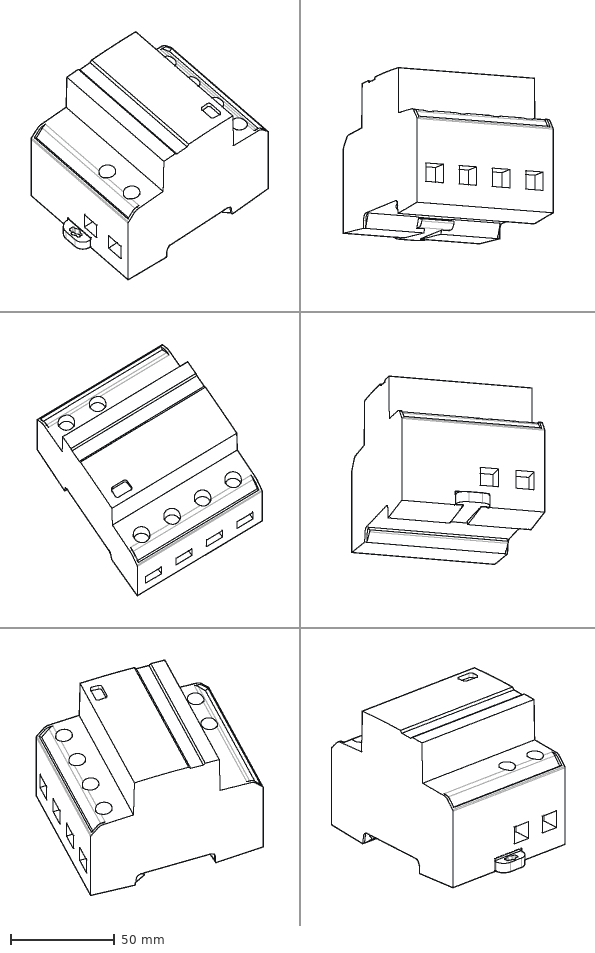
import cadquery as cq


WIDTH = 72.0
DEPTH = 90.0
FRONT_FOOT_EDGE_Z = 1.6
BACK_FOOT_EDGE_Z = 1.9
SIDE_TOP_Z = 43.55
SHOULDER_RUN = 5.0
SHOULDER_RISE = 5.4
SHOULDER_ROUND = 4.0
BEVEL_ROUND = 1.0

TOWER_BASE_Z = 49.85
TOWER_FRONT_BASE_Y = 22.4
TOWER_BACK_BASE_Y = 67.6
TOWER_DRAFT = 0.5
TOWER_FRONT_Z = 71.5
TOWER_BACK_Z = 72.1
CROWN = (49.7, 72.5)
CROWN_FRONT = (38.9, 72.3)
GROOVE_FRONT = (30.3, 71.8)
GROOVE_FLOOR_FRONT = (31.2, 70.9)
GROOVE_FLOOR_BACK = (37.8, 71.1)

RAIL_Z = 7.1
FRONT_FOOT_TIP_Y = 24.7
FRONT_WALL_TOP = (24.9, 3.8)
FRONT_ARC_MID = (25.7, 6.2)
FRONT_ARC_END_Y = 27.2
BACK_FOOT_TIP = (66.8, 0.3)
BACK_WALL_TOP = (66.2, 4.4)
BACK_ARC_MID = (65.4, 6.3)
BACK_ARC_END_Y = 63.8
END_WALL = 1.1
CORE_WIDTH = WIDTH - 2 * END_WALL
RAMP_TOP_Y = 27.9

FIXED_NOSE_BOTTOM = (61.8, 4.1)
FIXED_NOSE_MID = (61.5, 4.7)
FIXED_NOSE_TOP = (61.9, 5.2)
FIXED_NECK = (62.8, 5.5)

LABEL_MARGIN = 1.3
LABEL_LIP = 1.0
LABEL_WALL_RUN = 1.3
LABEL_FLOOR_END = (6.1, 47.8)
LABEL_EDGE = (8.2, 49.2)

SCREW_DIAMETER = 8.0
SCREW_INSET = 10.8
SCREW_DEPTH = 9.55
ENTRY_SIZE = 9.1
ENTRY_Z = 17.1
ENTRY_DEPTH = 9.55
FRONT_TERMINALS_X = [8.1, 26.1]
BACK_PITCH = 17.6
BACK_FIRST_X = -26.1
BACK_TERMINALS = 4

WINDOW_X = 26.6
WINDOW_FRONT_Y = 58.2
WINDOW_BACK_Y = 64.1
WINDOW_FRONT_WIDTH = 8.7
WINDOW_BACK_WIDTH = 9.55
WINDOW_ROUND = 1.3
WINDOW_DEPTH = 2.3

SLIDER_X = -0.4
SLIDER_WIDTH = 17.0
SIDE_CLEARANCE = 0.1
SLIDER_BOTTOM_Z = 1.9
SLIDER_TOP_Z = RAIL_Z
SLIDER_TOP_END_Y = 26.7
SLIDER_BOTTOM_END_Y = 27.9
HOOK_NECK = (28.5, 6.1)
HOOK_NOSE_TOP = (30.6, 5.9)
HOOK_NOSE_MID = (31.3, 5.4)
HOOK_NOSE_BOTTOM = (31.4, 4.5)
HOOK_BELLY = (30.1, 2.7)
TAB_LENGTH = 5.5
TAB_ROUND = 5.1
MOUTH_TOP_Z = 8.6
MOUTH_DEPTH = 0.7
NOTCH_WIDTH = 9.0
TOOL_HOLE_Y = -2.1
TOOL_SLOT_LENGTH = 6.9
TOOL_SLOT_WIDTH = 2.7
TOOL_BULGE = 3.7
TOOL_TIP = 2.6
TOOL_HOLE_ROUND = 0.5
TOOL_HOLE_DEPTH = 3.8


def extrude_along_width(profile, width, centre_x=0.0):
    """Extrude a closed YZ profile, centred on the given X."""
    return profile.extrude(width / 2, both=True).translate((centre_x, 0, 0))


def mirrored_to_back(body):
    return body.mirror("XZ").translate((0, DEPTH, 0))


def housing_blank():
    shoulder_z = SIDE_TOP_Z + SHOULDER_RISE
    profile = (
        cq.Workplane("YZ")
        .moveTo(0, FRONT_FOOT_EDGE_Z)
        .lineTo(0, SIDE_TOP_Z)
        .lineTo(SHOULDER_RUN, shoulder_z)
        .lineTo(TOWER_FRONT_BASE_Y, TOWER_BASE_Z)
        .lineTo(TOWER_FRONT_BASE_Y + TOWER_DRAFT, TOWER_FRONT_Z)
        .lineTo(*GROOVE_FRONT)
        .lineTo(*GROOVE_FLOOR_FRONT)
        .lineTo(*GROOVE_FLOOR_BACK)
        .lineTo(*CROWN_FRONT)
        .threePointArc(CROWN, (TOWER_BACK_BASE_Y - TOWER_DRAFT, TOWER_BACK_Z))
        .lineTo(TOWER_BACK_BASE_Y, TOWER_BASE_Z)
        .lineTo(DEPTH - SHOULDER_RUN, shoulder_z)
        .lineTo(DEPTH, SIDE_TOP_Z)
        .lineTo(DEPTH, BACK_FOOT_EDGE_Z)
        .lineTo(*BACK_FOOT_TIP)
        .lineTo(*BACK_WALL_TOP)
        .threePointArc(BACK_ARC_MID, (BACK_ARC_END_Y, RAIL_Z))
        .lineTo(FRONT_ARC_END_Y, RAIL_Z)
        .threePointArc(FRONT_ARC_MID, FRONT_WALL_TOP)
        .lineTo(FRONT_FOOT_TIP_Y, 0)
        .close()
    )
    blank = extrude_along_width(profile, WIDTH)
    for y, z, radius in [
        (SHOULDER_RUN, shoulder_z, SHOULDER_ROUND),
        (DEPTH - SHOULDER_RUN, shoulder_z, SHOULDER_ROUND),
        (0, SIDE_TOP_Z, BEVEL_ROUND),
        (DEPTH, SIDE_TOP_Z, BEVEL_ROUND),
    ]:
        blank = blank.edges(cq.NearestToPointSelector((0, y, z))).fillet(radius)
    return blank


def front_foot_ramp():
    """Sloped fill between the front foot wall and the rail face."""
    profile = (
        cq.Workplane("YZ")
        .moveTo(FRONT_FOOT_TIP_Y, 0)
        .lineTo(RAMP_TOP_Y, RAIL_Z)
        .lineTo(FRONT_ARC_END_Y, RAIL_Z)
        .threePointArc(FRONT_ARC_MID, FRONT_WALL_TOP)
        .close()
    )
    return extrude_along_width(profile, CORE_WIDTH)


def label_recess():
    slope = SHOULDER_RISE / SHOULDER_RUN
    lip_z = SIDE_TOP_Z + LABEL_LIP * slope
    wall_foot = (LABEL_LIP + LABEL_WALL_RUN, lip_z - LABEL_WALL_RUN / slope)
    profile = (
        cq.Workplane("YZ")
        .moveTo(LABEL_LIP, lip_z)
        .lineTo(*wall_foot)
        .lineTo(*LABEL_FLOOR_END)
        .tangentArcPoint(LABEL_EDGE, relative=False)
        .lineTo(LABEL_LIP, LABEL_EDGE[1])
        .close()
    )
    return extrude_along_width(profile, WIDTH - 2 * LABEL_MARGIN)


def terminal(x):
    """Screw hole and wire entry of one front terminal."""
    screw_hole = (
        cq.Workplane("XY", origin=(x, SCREW_INSET, TOWER_BASE_Z - SCREW_DEPTH))
        .circle(SCREW_DIAMETER / 2)
        .extrude(SCREW_DEPTH)
    )
    wire_entry = cq.Workplane("XY").box(ENTRY_SIZE, ENTRY_DEPTH, ENTRY_SIZE)
    return screw_hole.union(wire_entry.translate((x, ENTRY_DEPTH / 2, ENTRY_Z)))


def window_pocket():
    return (
        cq.Workplane("XY", origin=(WINDOW_X, 0, TOWER_BACK_Z - WINDOW_DEPTH))
        .polyline([
            (-WINDOW_FRONT_WIDTH / 2, WINDOW_FRONT_Y),
            (WINDOW_FRONT_WIDTH / 2, WINDOW_FRONT_Y),
            (WINDOW_BACK_WIDTH / 2, WINDOW_BACK_Y),
            (-WINDOW_BACK_WIDTH / 2, WINDOW_BACK_Y),
        ])
        .close()
        .extrude(2 * WINDOW_DEPTH)
        .edges("|Z")
        .fillet(WINDOW_ROUND)
    )


def box_behind_front(width, depth, bottom_z, top_z):
    """Box in line with the slider, running back from the front face."""
    box = cq.Workplane("XY").box(width, depth, top_z - bottom_z, centered=(True, False, False))
    return box.translate((SLIDER_X, 0, bottom_z))


def slider_slot():
    """Slot through the front foot, with a relief at its mouth and a notch through its floor."""
    slot_width = SLIDER_WIDTH + 2 * SIDE_CLEARANCE
    slot = box_behind_front(slot_width, RAMP_TOP_Y, SLIDER_BOTTOM_Z, SLIDER_TOP_Z)
    mouth = box_behind_front(slot_width, MOUTH_DEPTH, SLIDER_TOP_Z, MOUTH_TOP_Z)
    notch = box_behind_front(NOTCH_WIDTH, RAMP_TOP_Y, 0, SLIDER_BOTTOM_Z)
    return slot.union(mouth).union(notch)


def make_housing():
    housing = housing_blank().union(front_foot_ramp())
    housing = housing.cut(label_recess()).cut(mirrored_to_back(label_recess()))
    for x in FRONT_TERMINALS_X:
        housing = housing.cut(terminal(x))
    for i in range(BACK_TERMINALS):
        housing = housing.cut(mirrored_to_back(terminal(BACK_FIRST_X + i * BACK_PITCH)))
    return housing.cut(window_pocket()).cut(slider_slot())


def tool_hole():
    """Blind screwdriver slot with a pointed bulge on each long side."""
    half_length = TOOL_SLOT_LENGTH / 2
    half_width = TOOL_SLOT_WIDTH / 2
    return (
        cq.Workplane("XY", origin=(SLIDER_X, TOOL_HOLE_Y, SLIDER_TOP_Z))
        .polyline([
            (-half_length, -half_width),
            (-TOOL_BULGE / 2, -half_width),
            (0, -TOOL_TIP),
            (TOOL_BULGE / 2, -half_width),
            (half_length, -half_width),
            (half_length, half_width),
            (TOOL_BULGE / 2, half_width),
            (0, TOOL_TIP),
            (-TOOL_BULGE / 2, half_width),
            (-half_length, half_width),
        ])
        .close()
        .extrude(-TOOL_HOLE_DEPTH)
        .edges("|Z")
        .fillet(TOOL_HOLE_ROUND)
    )


def make_slider():
    """Flat bar with a pull tab in front and a rounded hook under the rail."""
    profile = (
        cq.Workplane("YZ")
        .moveTo(-TAB_LENGTH, SLIDER_BOTTOM_Z)
        .lineTo(-TAB_LENGTH, SLIDER_TOP_Z)
        .lineTo(SLIDER_TOP_END_Y, SLIDER_TOP_Z)
        .lineTo(*HOOK_NECK)
        .lineTo(*HOOK_NOSE_TOP)
        .threePointArc(HOOK_NOSE_MID, HOOK_NOSE_BOTTOM)
        .threePointArc(HOOK_BELLY, (SLIDER_BOTTOM_END_Y, SLIDER_BOTTOM_Z))
        .close()
    )
    slider = extrude_along_width(profile, SLIDER_WIDTH, SLIDER_X)
    slider = slider.edges("|Z and <Y").fillet(TAB_ROUND)
    return slider.cut(tool_hole())


def make_fixed_hook():
    """Hook strip seated against the inner wall of the back foot."""
    profile = (
        cq.Workplane("YZ")
        .moveTo(*BACK_FOOT_TIP)
        .lineTo(*FIXED_NOSE_BOTTOM)
        .threePointArc(FIXED_NOSE_MID, FIXED_NOSE_TOP)
        .lineTo(*FIXED_NECK)
        .lineTo(BACK_ARC_END_Y, RAIL_Z)
        .threePointArc(BACK_ARC_MID, BACK_WALL_TOP)
        .close()
    )
    return extrude_along_width(profile, CORE_WIDTH)


housing = make_housing()
slider = make_slider()
fixed_hook = make_fixed_hook()

result = cq.Compound.makeCompound([housing.val(), slider.val(), fixed_hook.val()])